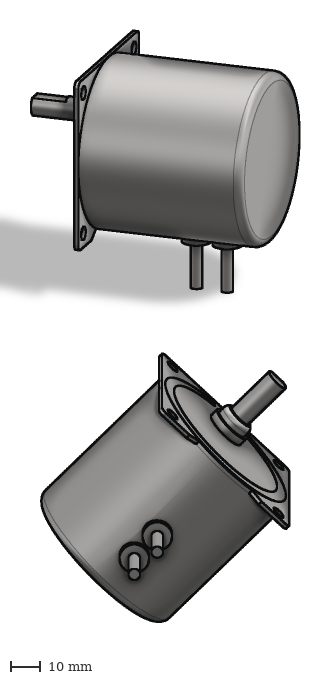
import cadquery as cq
import math

total_length = 85.0
body_diameter = 60.0
body_radius = body_diameter / 2
body_edge_fillet = 3.0

plate_size = body_diameter
plate_thickness = 1.5
plate_corner_radius = 2.0
hole_spacing = 50.0
hole_diameter = 4.6
relief_inner_y = 12.5
relief_outer_y = 17.0

groove_depth = 0.1
groove_outer_radius = 28.5
groove_inner_radius = 24.3
groove_inner_offset = 1.0
groove_gap = 10.0

shaft_z = 10.0
shaft_diameter = 8.0
shaft_length = 18.0
flat_length = 12.0
flat_height = 3.0
nose_length = 2.0
nose_tip_diameter = 9.9
nose_curve_radius = 2.4
collar_length = 1.95
collar_diameter = 12.0
boss_length = 3.0
boss_diameter = 14.0

lead_diameter = 4.0
lead_length = 18.5
grommet_diameter = 10.0
grommet_length = 2.0
first_lead_x = 58.0
lead_spacing = 11.05
lead_root_depth = 1.7

plate_x = shaft_length + nose_length + collar_length + boss_length
plate_back_x = plate_x + plate_thickness


def x_cylinder(start, length, diameter, z=0.0):
    """Cylinder running along +X."""
    return cq.Workplane("YZ", origin=(start, 0, z)).circle(diameter / 2).extrude(length)


def make_body():
    body = x_cylinder(plate_back_x, total_length - plate_back_x, body_diameter)
    return body.faces(">X").edges().fillet(body_edge_fillet)


def make_plate():
    half = plate_size / 2
    relief_inner_z = -math.sqrt(body_radius**2 - relief_inner_y**2)
    plate = (
        cq.Workplane("YZ", origin=(plate_x, 0, 0))
        .rect(plate_size, plate_size)
        .extrude(plate_thickness)
        .edges("|X")
        .fillet(plate_corner_radius)
    )
    for side in (-1, 1):
        relief = (
            cq.Workplane("YZ", origin=(plate_x, 0, 0))
            .moveTo(0, -half)
            .lineTo(side * relief_outer_y, -half)
            .lineTo(side * relief_inner_y, relief_inner_z)
            .radiusArc((0, -half), side * body_radius)
            .close()
            .extrude(plate_thickness)
        )
        plate = plate.cut(relief)
    return plate


def make_groove():
    ring = x_cylinder(plate_x, groove_depth, 2 * groove_outer_radius)
    island = x_cylinder(plate_x, groove_depth, 2 * groove_inner_radius, groove_inner_offset)
    bridge = cq.Workplane("XY").box(
        groove_depth, groove_gap, body_radius, centered=(False, True, False)
    ).translate((plate_x, 0, 0))
    return ring.cut(island).cut(bridge)


def make_mounting_holes():
    """Hole cutters that reach through the plate only."""
    return (
        cq.Workplane("YZ", origin=(plate_x, 0, 0))
        .rect(hole_spacing, hole_spacing, forConstruction=True)
        .vertices()
        .circle(hole_diameter / 2)
        .extrude(plate_thickness)
    )


def make_shaft():
    nose_end_x = shaft_length + nose_length
    collar_end_x = nose_end_x + collar_length
    shaft = (
        cq.Workplane("XY")
        .lineTo(0, shaft_diameter / 2)
        .lineTo(shaft_length, shaft_diameter / 2)
        .lineTo(shaft_length, nose_tip_diameter / 2)
        .radiusArc((nose_end_x, collar_diameter / 2), nose_curve_radius)
        .lineTo(collar_end_x, collar_diameter / 2)
        .lineTo(collar_end_x, boss_diameter / 2)
        .lineTo(plate_x, boss_diameter / 2)
        .lineTo(plate_x, 0)
        .close()
        .revolve(360, (0, 0), (1, 0))
    )
    flat = cq.Workplane("XY").box(
        flat_length, shaft_diameter, shaft_diameter, centered=(False, True, False)
    ).translate((0, 0, flat_height))
    return shaft.cut(flat).translate((0, 0, shaft_z))


def make_lead(x):
    root = cq.Workplane("XY", origin=(x, 0, lead_root_depth - body_radius))
    grommet = root.circle(grommet_diameter / 2).extrude(-(lead_root_depth + grommet_length))
    cable = root.circle(lead_diameter / 2).extrude(-(lead_root_depth + lead_length))
    return grommet.union(cable)


result = make_plate().cut(make_groove()).cut(make_mounting_holes())
result = result.union(make_body()).union(make_shaft())
for lead_index in range(2):
    result = result.union(make_lead(first_lead_x + lead_index * lead_spacing))